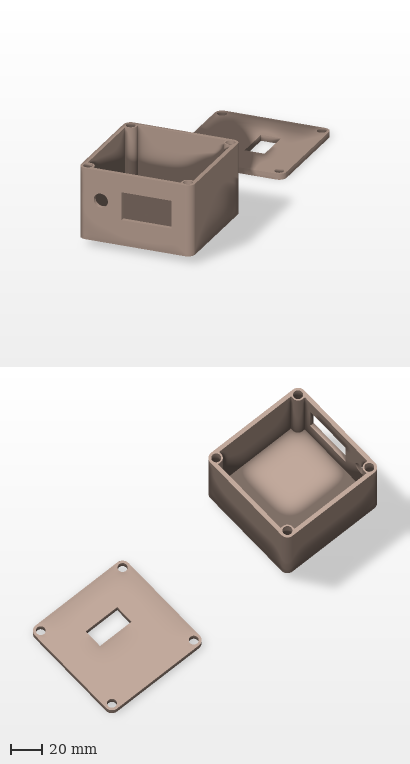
import cadquery as cq

side = 80.0
corner_radius = 5.0
screw_hole_diameter = 6.5
screw_spacing = side - 2 * corner_radius

box_height = 50.0
wall = 3.0
floor_thickness = 5.0
post_diameter = 8.5
post_radius = post_diameter / 2
post_reach = corner_radius + post_radius

display_width = 35.0
display_height = 19.5
display_x = 8.0
display_z = 27.5
button_hole_diameter = 10.0
button_x = -24.0
button_z = 29.0

overall_length = 230.0
overall_height = 56.4
lid_gap = 2.3
lid_thickness = overall_height - box_height - lid_gap
lid_y = overall_length - side
lid_z = -(lid_gap + lid_thickness)
lid_window_width = 14.0
lid_window_length = 27.0
lid_window_x = 8.5


def rounded_block(height):
    """Square block with rounded vertical corners, standing on Z = 0."""
    block = cq.Workplane("XY").box(side, side, height, centered=(True, True, False))
    return block.edges("|Z").fillet(corner_radius)


def corner_cylinders(diameter, height):
    """Four upright cylinders on the screw centres."""
    centres = cq.Workplane("XY").rect(screw_spacing, screw_spacing, forConstruction=True)
    return centres.vertices().circle(diameter / 2).extrude(height)


def make_post_blocks():
    """Rounded blocks centred on the box corners; the part inside the cavity forms the posts."""
    corners = cq.Workplane("XY").rect(side, side, forConstruction=True).vertices()
    blocks = corners.rect(2 * post_reach, 2 * post_reach).extrude(box_height)
    return blocks.edges("|Z").fillet(post_radius)


def make_cavity():
    """Open-topped interior that leaves a screw post in each corner."""
    inner_side = side - 2 * wall
    depth = box_height - floor_thickness
    cavity = cq.Workplane("XY").box(inner_side, inner_side, depth, centered=(True, True, False))
    cavity = cavity.translate((0, 0, floor_thickness))
    return cavity.cut(make_post_blocks())


def make_front_openings():
    """Display window and round button hole, through the front wall only."""
    front = cq.Workplane("XZ", origin=(0, -side / 2, 0))
    window = front.center(display_x, display_z).rect(display_width, display_height).extrude(-wall)
    button = front.center(button_x, button_z).circle(button_hole_diameter / 2).extrude(-wall)
    return window.add(button).combine()


def make_box():
    body = rounded_block(box_height).cut(make_cavity())
    body = body.cut(make_front_openings())
    return body.cut(corner_cylinders(screw_hole_diameter, box_height))


def make_lid():
    body = rounded_block(lid_thickness)
    body = body.cut(corner_cylinders(screw_hole_diameter, lid_thickness))
    window = cq.Workplane("XY").center(lid_window_x, 0)
    window = window.rect(lid_window_width, lid_window_length).extrude(lid_thickness)
    return body.cut(window).translate((0, lid_y, lid_z))


box = make_box()
lid = make_lid()

result = cq.Compound.makeCompound([box.val(), lid.val()])